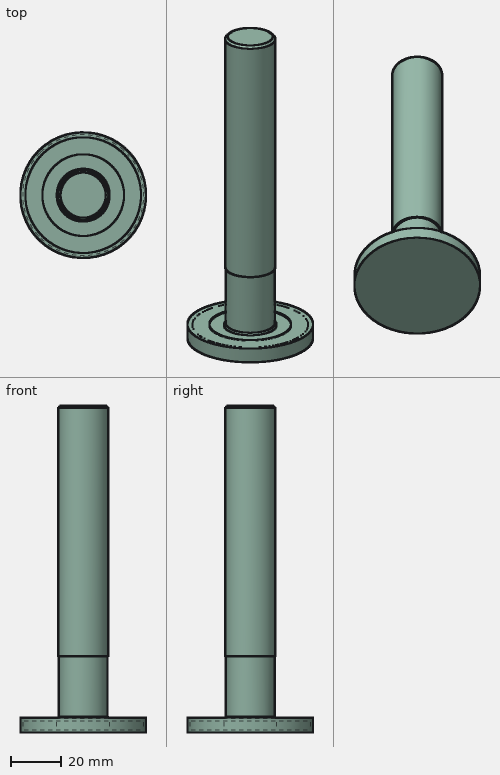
import cadquery as cq

TOTAL_HEIGHT = 130.0
FOOT_DIAMETER = 50.0
FOOT_HEIGHT = 6.0

PAD_FLOOR = 1.0
PAD_OPENING_DIAMETER = 32.5
OPENING_DEPTH = 0.4

PLATE_DIAMETER = 48.1
PLATE_CHAMFER = 1.0
PLATE_TOP = FOOT_HEIGHT - OPENING_DEPTH

ROD_DIAMETER = 20.0
NECK_DIAMETER = 19.5
BASE_DIAMETER = 21.0
FLARE = (BASE_DIAMETER - NECK_DIAMETER) / 2
ROD_BOTTOM = 30.3
ROD_BOTTOM_CHAMFER = (ROD_DIAMETER - NECK_DIAMETER) / 2
TIP_CHAMFER = 1.0


def disc(diameter, bottom, top):
    """Vertical cylinder on the Z axis between two heights."""
    return cq.Workplane("XY").workplane(offset=bottom).circle(diameter / 2).extrude(top - bottom)


def plate_blank():
    """Outer shape of the plate, which is also the shape of its pocket in the pad."""
    return disc(PLATE_DIAMETER, PAD_FLOOR, PLATE_TOP).faces(">Z").chamfer(PLATE_CHAMFER)


def make_pad():
    body = disc(FOOT_DIAMETER, 0, FOOT_HEIGHT)
    top_opening = disc(PAD_OPENING_DIAMETER, PLATE_TOP, FOOT_HEIGHT)
    return body.cut(plate_blank()).cut(top_opening)


def make_plate():
    spindle_hole = disc(BASE_DIAMETER, PAD_FLOOR, PLATE_TOP)
    return plate_blank().cut(spindle_hole)


def make_spindle():
    """Half profile, from the bottom up, revolved around the Z axis."""
    base_radius = BASE_DIAMETER / 2
    neck_radius = NECK_DIAMETER / 2
    rod_radius = ROD_DIAMETER / 2
    profile = [
        (0, PAD_FLOOR),
        (base_radius, PAD_FLOOR),
        (base_radius, PLATE_TOP),
        (neck_radius, PLATE_TOP + FLARE),
        (neck_radius, ROD_BOTTOM),
        (rod_radius, ROD_BOTTOM + ROD_BOTTOM_CHAMFER),
        (rod_radius, TOTAL_HEIGHT - TIP_CHAMFER),
        (rod_radius - TIP_CHAMFER, TOTAL_HEIGHT),
        (0, TOTAL_HEIGHT),
    ]
    return cq.Workplane("XZ").polyline(profile).close().revolve(360, (0, 0), (0, 1))


pad = make_pad()
plate = make_plate()
spindle = make_spindle()

result = cq.Compound.makeCompound([pad.val(), plate.val(), spindle.val()])